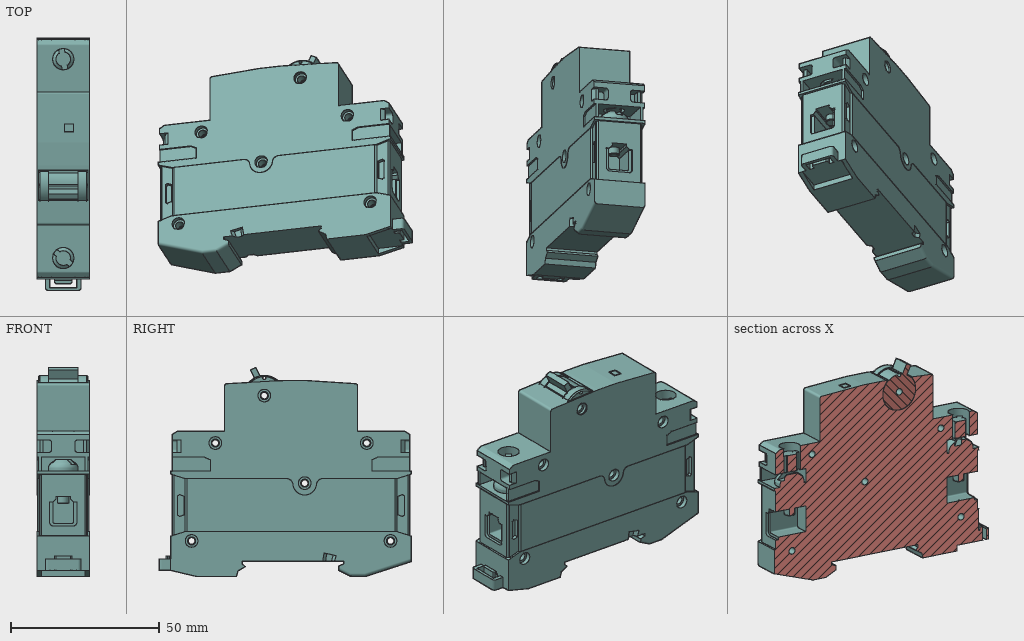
import cadquery as cq
import math


WIDTH = 17.8
HALF_WIDTH = WIDTH / 2
HALF_LENGTH = 40.55
BODY_END = 40.0
TOTAL_LENGTH = 85.0
TOTAL_HEIGHT = 70.5
HEAD_HALF_LENGTH = 22.4
HEAD_CORNER_Z = 64.9
HEAD_PEAK_Z = 66.05
HEAD_PEAK_REAR_Y = 5.3
HEAD_PEAK_FRONT_Y = -2.4
HEAD_CORNER_RADIUS = 0.85
SHOULDER_Z = 49.0
SHOULDER_CHAMFER_LENGTH = 1.7
SHOULDER_CHAMFER_HEIGHT = 1.1
SHOULDER_EDGE_RADIUS = 0.85
LEDGE_TOP_Z = 35.5
LEDGE_BOTTOM_Z = 34.5
FOOT_TOP_Z = 13.6

RAIL_SEAT_Z = 5.1
JAW_GROOVE_Z = 4.25
FRONT_JAW_POINTS = [
    (-18.4, 0), (-17.85, 1.9), (-15.4, 3.3), (-16.4, JAW_GROOVE_Z), (-16.4, RAIL_SEAT_Z),
]
REAR_JAW_POINTS = [
    (17.7, RAIL_SEAT_Z), (17.7, JAW_GROOVE_Z), (16.0, 3.6), (16.0, 2.0), (20.1, 0), (25.2, 0),
]
REAR_SLOPE_END_Z = 5.0
FRONT_SLOPE_Y = -32.0
FRONT_SLOPE_END_Z = 2.0
JAW_EDGE_RADIUS = 1.0
PICK_MARGIN = 0.1
FOOT_NOTCH_HALF_WIDTH = 7.3

PANEL_DEPTH = 0.13
PANEL_BOTTOM_Z = 15.1
PANEL_TOP_Z = 33.0
PANEL_HALF_LENGTH = 35.7
PANEL_STEP_LENGTH = 0.7
WAIST_INNER_HALF_WIDTH = 8.2
WAIST_OUTER_HALF_WIDTH = 7.9
WAIST_END_HALF_WIDTH = 7.3
WAIST_CHAMFER = WAIST_OUTER_HALF_WIDTH - WAIST_END_HALF_WIDTH
BOSS_RADIUS = 4.0
BOSS_ROOT_RADIUS = 2.1

AXIS_Y = -9.0
AXIS_Z = 60.95
BOSS_Y = 4.6
BOSS_Z = 31.45
UPPER_RIVET_Y = 25.5
UPPER_RIVET_Z = 45.0
LOWER_RIVET_Y = 33.5
LOWER_RIVET_Z = 12.0
RIVET_POINTS = [
    (AXIS_Y, AXIS_Z),
    (BOSS_Y, BOSS_Z),
    (UPPER_RIVET_Y, UPPER_RIVET_Z),
    (-UPPER_RIVET_Y, UPPER_RIVET_Z),
    (LOWER_RIVET_Y, LOWER_RIVET_Z),
    (-LOWER_RIVET_Y, LOWER_RIVET_Z),
]
RIVET_HEAD_RADIUS = 2.1
RIVET_HEAD_DEPTH = 1.7
RIVET_SLEEVE_RADIUS = 1.4
RIVET_SLEEVE_DEPTH = 5.1
RIVET_HOLE_RADIUS = 1.1

CHAMBER_HALF_WIDTH = 7.3
CHAMBER_TOP_Z = 40.2
CHAMBER_DEPTH = 11.9
SCREW_Y = 33.5
SCREW_ACCESS_RADIUS = 3.6
GUARD_TOP_Z = 46.2
GUARD_RADIUS = 2.5
GUARD_ARM_WIDTH = 1.95
SCREW_HEAD_RADIUS = 5.0
SCREW_RIM_Z = 36.6
SCREW_CROWN_RADIUS = 2.5
SCREW_CROWN_Z = 39.4
SCREW_SHOULDER_RADIUS = 4.25
SCREW_SHOULDER_Z = 38.1
SCREW_BULGE_RADIUS = 4.8
SCREW_BULGE_Z = 37.4
SCREW_SLOT_WIDTH = 1.95
SCREW_SLOT_FLOOR_Z = 37.65
REAR_SCREW_ANGLE = -80.0
FRONT_SCREW_ANGLE = -38.0
SHANK_RADIUS = 1.9
SHANK_END_Z = 24.6
SHANK_CHAMFER = 0.25

WIRE_RIM_HALF_WIDTH = 4.6
WIRE_RIM_BOTTOM_Z = 17.0
WIRE_RIM_TOP_Z = 25.1
WIRE_RIM_RADIUS = 1.3
WIRE_RIM_DEPTH = 1.0
WIRE_HALF_WIDTH = 3.5
WIRE_BOTTOM_Z = 17.9
WIRE_CORNER_RADIUS = 0.5
WIRE_NECK_HALF_WIDTH = 2.5
WIRE_NECK_BOTTOM_Z = 26.1
WIRE_NECK_TOP_Z = 26.95
WIRE_DEPTH = 11.9

LABEL_DEPTH = 0.6
LABEL_INNER_Y = 27.2
LABEL_CHAMFER_LENGTH = 1.95
LABEL_CHAMFER_HEIGHT = 0.9

NOTCH_BOTTOM_Z = 41.8
NOTCH_TOP_Z = 46.0
NOTCH_INNER_X = 3.9
NOTCH_LIP_INNER_X = 6.8
NOTCH_LIP_OUTER_X = 7.8
NOTCH_LIP_Y = 38.3
NOTCH_SIDE_Y = 37.1
NOTCH_DEEP_Y = 34.85
NOTCH_RADIUS = 0.9

SIDE_SLOT_POINTS = [
    (36.0, 27.0), (37.6, 27.6), (38.2, 27.1), (38.2, 20.7), (37.6, 20.2), (36.0, 20.7),
]
SIDE_SLOT_FLOOR_X = 6.8

SPRING_MOUTH_POINTS = [(14.6, RAIL_SEAT_Z), (15.2, 7.05), (11.1, 7.9), (10.6, RAIL_SEAT_Z)]
SPRING_FLOOR_POINTS = [(13.6, RAIL_SEAT_Z), (14.2, 7.2), (12.0, 7.7), (11.65, RAIL_SEAT_Z)]
SPRING_POCKET_DEPTH = 1.3

WINDOW_X = 1.95
WINDOW_Y = 10.4
WINDOW_WIDTH = 3.15
WINDOW_LENGTH = 2.6
WINDOW_DEPTH = 0.25

CLIP_BOTTOM_Z = FRONT_SLOPE_END_Z
CLIP_TOP_Z = 5.95
CLIP_HALF_WIDTH = 6.0
CLIP_END_Y = HALF_LENGTH - TOTAL_LENGTH
CLIP_SIDE_THICKNESS = 1.5
CLIP_BAR_THICKNESS = 1.0
CLIP_CORNER_RADIUS = 1.0
TAB_HALF_WIDTH = 3.0
TAB_TOP_Z = 7.0
TAB_PROJECTION = 1.6
TAB_GAP = 0.4
TAB_CHAMFER = 0.5

DISC_RADIUS = 6.8
DISC_HALF_WIDTH = 7.8
RIM_RADIUS = 6.4
TOGGLE_HALF_WIDTH = 8.3
CORE_RADIUS = 6.4
LEVER_HALF_WIDTH = 5.0
LEVER_THICKNESS = 2.0
LEVER_TILT = 26.0
LEVER_OFFSET = 0.6
PIN_HOLE_Z = 66.9
PIN_HOLE_RADIUS = 0.5
TOGGLE_SEAT_HALF_LENGTH = 5.1
TOGGLE_SEAT_DEPTH = 0.1


def box(x_range, y_range, z_range):
    """Box between the given pairs of limits."""
    size = [high - low for low, high in (x_range, y_range, z_range)]
    return cq.Workplane("XY").box(*size, centered=False).translate(
        (x_range[0], y_range[0], z_range[0])
    )


def side_prism(points, half_width):
    """Prism across the width from (Y, Z) points."""
    return cq.Workplane("YZ").polyline(points).close().extrude(half_width, both=True)


def cross_cylinder(y, z, radius, half_width):
    """Cylinder across the width, centred on X = 0."""
    return cq.Workplane("YZ").center(y, z).circle(radius).extrude(half_width, both=True)


def on_both_sides(body):
    return body.union(body.mirror("YZ"))


def on_both_ends(body):
    return body.union(body.mirror("XZ"))


def rivet_hole(y, z):
    """Through hole, stepped twice from each side."""
    hole = cross_cylinder(y, z, RIVET_HOLE_RADIUS, HALF_WIDTH)
    for radius, depth in (
        (RIVET_SLEEVE_RADIUS, RIVET_SLEEVE_DEPTH),
        (RIVET_HEAD_RADIUS, RIVET_HEAD_DEPTH),
    ):
        step = cross_cylinder(y, z, radius, HALF_WIDTH)
        hole = hole.union(step.cut(cross_cylinder(y, z, radius, HALF_WIDTH - depth)))
    return hole


def housing_block():
    """Stepped side outline at full width, with rounded head, shoulder and jaw edges."""
    shoulder_edge_y = BODY_END - SHOULDER_CHAMFER_LENGTH
    shoulder_low_z = SHOULDER_Z - SHOULDER_CHAMFER_HEIGHT
    outline = [
        (HALF_LENGTH, REAR_SLOPE_END_Z),
        (HALF_LENGTH, LEDGE_TOP_Z),
        (BODY_END, LEDGE_TOP_Z),
        (BODY_END, shoulder_low_z),
        (shoulder_edge_y, SHOULDER_Z),
        (HEAD_HALF_LENGTH, SHOULDER_Z),
        (HEAD_HALF_LENGTH, HEAD_CORNER_Z),
        (HEAD_PEAK_REAR_Y, HEAD_PEAK_Z),
        (HEAD_PEAK_FRONT_Y, HEAD_PEAK_Z),
        (-HEAD_HALF_LENGTH, HEAD_CORNER_Z),
        (-HEAD_HALF_LENGTH, SHOULDER_Z),
        (-shoulder_edge_y, SHOULDER_Z),
        (-BODY_END, shoulder_low_z),
        (-BODY_END, LEDGE_TOP_Z),
        (-HALF_LENGTH, LEDGE_TOP_Z),
        (-HALF_LENGTH, FRONT_SLOPE_END_Z),
        (FRONT_SLOPE_Y, 0),
        *FRONT_JAW_POINTS,
        *REAR_JAW_POINTS,
    ]
    block = side_prism(outline, HALF_WIDTH)
    tip_y = min(y for y, z in REAR_JAW_POINTS)
    for x in (-HALF_WIDTH, HALF_WIDTH):
        jaw_edges = cq.selectors.BoxSelector(
            (x - PICK_MARGIN, tip_y + PICK_MARGIN, -PICK_MARGIN),
            (x + PICK_MARGIN, HALF_LENGTH - PICK_MARGIN, REAR_SLOPE_END_Z / 2 + PICK_MARGIN),
        )
        block = block.edges(jaw_edges).fillet(JAW_EDGE_RADIUS)
    for end in (-1, 1):
        head_y = end * HEAD_HALF_LENGTH
        head_corner = cq.selectors.NearestToPointSelector((0, head_y, HEAD_CORNER_Z))
        block = block.edges(head_corner).fillet(HEAD_CORNER_RADIUS)
        shoulder_y = end * shoulder_edge_y
        shoulder_edge = cq.selectors.NearestToPointSelector((0, shoulder_y, SHOULDER_Z))
        block = block.edges(shoulder_edge).fillet(SHOULDER_EDGE_RADIUS)
    return block


def waist_recess():
    """Material removed around the waist: shallow side panels, deeper toward the ends."""
    band = side_prism(
        [
            (HALF_LENGTH, FOOT_TOP_Z),
            (PANEL_HALF_LENGTH, PANEL_BOTTOM_Z),
            (-PANEL_HALF_LENGTH, PANEL_BOTTOM_Z),
            (-HALF_LENGTH, FOOT_TOP_Z),
            (-HALF_LENGTH, LEDGE_BOTTOM_Z),
            (-PANEL_HALF_LENGTH, PANEL_TOP_Z),
            (PANEL_HALF_LENGTH, PANEL_TOP_Z),
            (HALF_LENGTH, LEDGE_BOTTOM_Z),
        ],
        HALF_WIDTH,
    )
    quarter = [
        (HALF_WIDTH - PANEL_DEPTH, PANEL_HALF_LENGTH - PANEL_STEP_LENGTH),
        (WAIST_INNER_HALF_WIDTH, PANEL_HALF_LENGTH),
        (WAIST_INNER_HALF_WIDTH, BODY_END - WAIST_CHAMFER),
        (WAIST_OUTER_HALF_WIDTH, BODY_END - WAIST_CHAMFER),
        (WAIST_END_HALF_WIDTH, BODY_END),
    ]
    rear = quarter + [(-x, y) for x, y in reversed(quarter)]
    front = [(-x, -y) for x, y in rear]
    core = cq.Workplane("XY").polyline(rear + front).close().extrude(SHOULDER_Z)
    return band.cut(core).cut(rivet_boss())


def rivet_boss():
    """Round boss hanging from the top edge of the side panels, with rounded roots."""
    root_z = PANEL_TOP_Z - BOSS_ROOT_RADIUS
    reach = BOSS_RADIUS + BOSS_ROOT_RADIUS
    root_offset = math.sqrt(reach**2 - (root_z - BOSS_Z) ** 2)
    tangent_angle = math.atan2(BOSS_Z - root_z, -root_offset)
    mid_angle = (math.pi / 2 + tangent_angle) / 2
    tangent_offset = root_offset + BOSS_ROOT_RADIUS * math.cos(tangent_angle)
    tangent_z = root_z + BOSS_ROOT_RADIUS * math.sin(tangent_angle)
    mid_offset = root_offset + BOSS_ROOT_RADIUS * math.cos(mid_angle)
    mid_z = root_z + BOSS_ROOT_RADIUS * math.sin(mid_angle)
    return (
        cq.Workplane("YZ")
        .moveTo(BOSS_Y - root_offset, PANEL_TOP_Z)
        .threePointArc((BOSS_Y - mid_offset, mid_z), (BOSS_Y - tangent_offset, tangent_z))
        .threePointArc((BOSS_Y, BOSS_Z - BOSS_RADIUS), (BOSS_Y + tangent_offset, tangent_z))
        .threePointArc((BOSS_Y + mid_offset, mid_z), (BOSS_Y + root_offset, PANEL_TOP_Z))
        .close()
        .extrude(HALF_WIDTH, both=True)
    )


def terminal_chamber():
    """Screw chamber open at the +Y end, with the round screwdriver access above it."""
    chamber = box(
        (-CHAMBER_HALF_WIDTH, CHAMBER_HALF_WIDTH),
        (BODY_END - CHAMBER_DEPTH, BODY_END),
        (LEDGE_TOP_Z, CHAMBER_TOP_Z),
    )
    access = (
        cq.Workplane("XY", origin=(0, SCREW_Y, LEDGE_TOP_Z))
        .circle(SCREW_ACCESS_RADIUS)
        .extrude(SHOULDER_Z - LEDGE_TOP_Z)
    )
    return chamber.union(access)


def access_guard(y, angle):
    """Round pad with two arms that spans the lower part of the screwdriver access."""
    height = GUARD_TOP_Z - CHAMBER_TOP_Z
    base = cq.Workplane("XY", origin=(0, 0, CHAMBER_TOP_Z))
    arms = base.rect(2 * SCREW_ACCESS_RADIUS, GUARD_ARM_WIDTH).extrude(height)
    guard = base.circle(GUARD_RADIUS).extrude(height).union(arms)
    return guard.rotate((0, 0, 0), (0, 0, 1), angle).translate((0, y, 0))


def wire_opening():
    """Wire entry in the +Y end: a shallow rim around a deep opening with a narrow top."""
    rim = box(
        (-WIRE_RIM_HALF_WIDTH, WIRE_RIM_HALF_WIDTH),
        (BODY_END - WIRE_RIM_DEPTH, BODY_END),
        (WIRE_RIM_BOTTOM_Z, WIRE_RIM_TOP_Z),
    )
    rim = rim.edges("|Y and <Z").fillet(WIRE_RIM_RADIUS)
    half = [
        (WIRE_HALF_WIDTH, WIRE_BOTTOM_Z),
        (WIRE_HALF_WIDTH, WIRE_RIM_TOP_Z),
        (WIRE_NECK_HALF_WIDTH, WIRE_NECK_BOTTOM_Z),
        (WIRE_NECK_HALF_WIDTH, WIRE_NECK_TOP_Z),
    ]
    outline = half + [(-x, z) for x, z in reversed(half)]
    bore = (
        cq.Workplane("XZ", origin=(0, BODY_END, 0)).polyline(outline).close().extrude(WIRE_DEPTH)
    )
    bore = bore.edges("|Y and <Z").fillet(WIRE_CORNER_RADIUS)
    return rim.union(bore)


def terminal_screw(y, slot_angle):
    """Domed slotted head on the chamber floor and the shank end in the wire opening."""
    head = (
        cq.Workplane("XZ")
        .moveTo(0, LEDGE_TOP_Z)
        .lineTo(SCREW_HEAD_RADIUS, LEDGE_TOP_Z)
        .lineTo(SCREW_HEAD_RADIUS, SCREW_RIM_Z)
        .threePointArc((SCREW_BULGE_RADIUS, SCREW_BULGE_Z), (SCREW_SHOULDER_RADIUS, SCREW_SHOULDER_Z))
        .lineTo(SCREW_CROWN_RADIUS, SCREW_CROWN_Z)
        .lineTo(0, SCREW_CROWN_Z)
        .close()
        .revolve(360, (0, 0, 0), (0, 1, 0))
    )
    slot = box(
        (-SCREW_HEAD_RADIUS, SCREW_HEAD_RADIUS),
        (-SCREW_SLOT_WIDTH / 2, SCREW_SLOT_WIDTH / 2),
        (SCREW_SLOT_FLOOR_Z, SCREW_CROWN_Z),
    ).rotate((0, 0, 0), (0, 0, 1), slot_angle)
    shank = (
        cq.Workplane("XY", origin=(0, 0, SHANK_END_Z))
        .circle(SHANK_RADIUS)
        .extrude(LEDGE_TOP_Z - SHANK_END_Z)
        .faces("<Z")
        .chamfer(SHANK_CHAMFER)
    )
    return head.cut(slot).union(shank).translate((0, y, 0))


def label_pocket():
    """Shallow side pocket above the ledge, on the +X side of the +Y end."""
    outline = [
        (BODY_END, LEDGE_TOP_Z),
        (BODY_END, CHAMBER_TOP_Z),
        (LABEL_INNER_Y + LABEL_CHAMFER_LENGTH, CHAMBER_TOP_Z),
        (LABEL_INNER_Y, CHAMBER_TOP_Z - LABEL_CHAMFER_HEIGHT),
        (LABEL_INNER_Y, LEDGE_TOP_Z),
    ]
    return (
        cq.Workplane("YZ", origin=(HALF_WIDTH - LABEL_DEPTH, 0, 0))
        .polyline(outline)
        .close()
        .extrude(LABEL_DEPTH)
    )


def corner_notch():
    """Hooked notch in the +X, +Y corner, reaching in behind a lip."""
    outline = [
        (NOTCH_INNER_X, BODY_END),
        (HALF_WIDTH, BODY_END),
        (HALF_WIDTH, NOTCH_SIDE_Y),
        (NOTCH_LIP_OUTER_X, NOTCH_LIP_Y),
        (NOTCH_LIP_INNER_X, NOTCH_LIP_Y),
        (NOTCH_LIP_INNER_X, NOTCH_DEEP_Y),
        (NOTCH_INNER_X, NOTCH_DEEP_Y),
    ]
    notch = (
        cq.Workplane("XY", origin=(0, 0, NOTCH_BOTTOM_Z))
        .polyline(outline)
        .close()
        .extrude(NOTCH_TOP_Z - NOTCH_BOTTOM_Z)
    )
    return notch.faces("<X").edges("|Y").fillet(NOTCH_RADIUS)


def side_slot():
    """Upright slot in the +X side of the waist at the +Y end."""
    return (
        cq.Workplane("YZ", origin=(SIDE_SLOT_FLOOR_X, 0, 0))
        .polyline(SIDE_SLOT_POINTS)
        .close()
        .extrude(HALF_WIDTH - SIDE_SLOT_FLOOR_X)
    )


def spring_pocket():
    """Tapered pocket in the +X side, open to the rail seat."""
    return (
        cq.Workplane("YZ", origin=(HALF_WIDTH, 0, 0))
        .polyline(SPRING_MOUTH_POINTS)
        .close()
        .workplane(offset=-SPRING_POCKET_DEPTH)
        .polyline(SPRING_FLOOR_POINTS)
        .close()
        .loft()
    )


def indicator_window():
    """Shallow window, square to the sloping rear half of the head."""
    slope = (HEAD_PEAK_Z - HEAD_CORNER_Z) / (HEAD_HALF_LENGTH - HEAD_PEAK_REAR_Y)
    surface_z = HEAD_PEAK_Z - slope * (WINDOW_Y - HEAD_PEAK_REAR_Y)
    return (
        cq.Workplane("XY")
        .box(WINDOW_WIDTH, WINDOW_LENGTH, 2 * WINDOW_DEPTH)
        .rotate((0, 0, 0), (1, 0, 0), -math.degrees(math.atan(slope)))
        .translate((WINDOW_X, WINDOW_Y, surface_z))
    )


def clip_loop():
    """Pull loop of the rail clip with the small tab inside it."""
    clip_z = (CLIP_BOTTOM_Z, CLIP_TOP_Z)
    loop = box((-CLIP_HALF_WIDTH, CLIP_HALF_WIDTH), (CLIP_END_Y, -HALF_LENGTH), clip_z)
    loop = loop.edges("|Z and <Y").fillet(CLIP_CORNER_RADIUS)
    opening_half_width = CLIP_HALF_WIDTH - CLIP_SIDE_THICKNESS
    loop = loop.cut(
        box(
            (-opening_half_width, opening_half_width),
            (CLIP_END_Y + CLIP_BAR_THICKNESS, -HALF_LENGTH),
            clip_z,
        )
    )
    tab_x = (-TAB_HALF_WIDTH, TAB_HALF_WIDTH)
    tab_back_y = -HALF_LENGTH - TAB_GAP
    tab = box(tab_x, (-HALF_LENGTH - TAB_PROJECTION, tab_back_y), (CLIP_BOTTOM_Z, TAB_TOP_Z))
    tab = tab.edges("|Z and <Y").chamfer(TAB_CHAMFER)
    return loop.union(tab).union(box(tab_x, (tab_back_y, -HALF_LENGTH), clip_z))


def foot_notch():
    """Squares off the middle of the sloping front underside."""
    return box(
        (-FOOT_NOTCH_HALF_WIDTH, FOOT_NOTCH_HALF_WIDTH),
        (-HALF_LENGTH, FRONT_SLOPE_Y),
        (0, FRONT_SLOPE_END_Z),
    )


def toggle_drum():
    """Bevelled discs joined by a slightly smaller core."""
    drum = (
        cq.Workplane("XY")
        .moveTo(-TOGGLE_HALF_WIDTH, 0)
        .lineTo(-TOGGLE_HALF_WIDTH, RIM_RADIUS)
        .lineTo(-DISC_HALF_WIDTH, DISC_RADIUS)
        .lineTo(-LEVER_HALF_WIDTH, DISC_RADIUS)
        .lineTo(-LEVER_HALF_WIDTH, CORE_RADIUS)
        .lineTo(LEVER_HALF_WIDTH, CORE_RADIUS)
        .lineTo(LEVER_HALF_WIDTH, DISC_RADIUS)
        .lineTo(DISC_HALF_WIDTH, DISC_RADIUS)
        .lineTo(TOGGLE_HALF_WIDTH, RIM_RADIUS)
        .lineTo(TOGGLE_HALF_WIDTH, 0)
        .close()
        .revolve(360, (0, 0, 0), (1, 0, 0))
    )
    return drum.translate((0, AXIS_Y, AXIS_Z))


def toggle_seat():
    """Cavity that holds the drum, under a shallow flat in the head."""
    slope = (HEAD_PEAK_Z - HEAD_CORNER_Z) / (HEAD_HALF_LENGTH + HEAD_PEAK_FRONT_Y)
    surface_z = HEAD_PEAK_Z - slope * (HEAD_PEAK_FRONT_Y - AXIS_Y)
    flat = (
        cq.Workplane("XY")
        .box(2 * TOGGLE_HALF_WIDTH, 2 * TOGGLE_SEAT_HALF_LENGTH, 2 * TOGGLE_SEAT_DEPTH)
        .rotate((0, 0, 0), (1, 0, 0), math.degrees(math.atan(slope)))
        .translate((0, AXIS_Y, surface_z))
    )
    return toggle_drum().union(flat)


def make_housing():
    housing = housing_block().cut(waist_recess())
    housing = housing.cut(on_both_ends(terminal_chamber()))
    housing = housing.cut(on_both_ends(wire_opening()))
    for pocket in (label_pocket(), corner_notch(), side_slot()):
        housing = housing.cut(on_both_ends(on_both_sides(pocket)))
    housing = housing.cut(on_both_sides(spring_pocket()))
    housing = housing.cut(indicator_window()).cut(foot_notch()).cut(toggle_seat())
    for y, z in RIVET_POINTS:
        housing = housing.cut(rivet_hole(y, z))
    for y, angle in ((SCREW_Y, REAR_SCREW_ANGLE), (-SCREW_Y, FRONT_SCREW_ANGLE)):
        housing = housing.union(access_guard(y, angle)).union(terminal_screw(y, angle))
    return housing.union(clip_loop())


def make_toggle():
    """Drum with its tilted lever, pierced by the pin hole and the axis hole."""
    tilt = math.radians(LEVER_TILT)
    corner_rise = (LEVER_OFFSET + LEVER_THICKNESS / 2) * math.sin(tilt)
    reach = (TOTAL_HEIGHT - AXIS_Z - corner_rise) / math.cos(tilt)
    lever = box(
        (-LEVER_HALF_WIDTH, LEVER_HALF_WIDTH),
        (LEVER_OFFSET - LEVER_THICKNESS / 2, LEVER_OFFSET + LEVER_THICKNESS / 2),
        (0, reach),
    )
    lever = lever.rotate((0, 0, 0), (1, 0, 0), LEVER_TILT).translate((0, AXIS_Y, AXIS_Z))
    toggle = toggle_drum().union(lever)
    toggle = toggle.cut(cross_cylinder(AXIS_Y, PIN_HOLE_Z, PIN_HOLE_RADIUS, HALF_WIDTH))
    return toggle.cut(rivet_hole(AXIS_Y, AXIS_Z))


housing = make_housing()
toggle = make_toggle()

result = cq.Compound.makeCompound([housing.val(), toggle.val()])